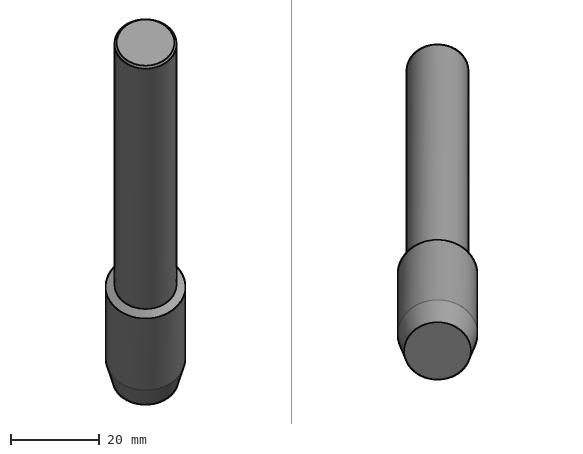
import cadquery as cq

total_height = 125.0
shaft_diameter = 14.0
collar_diameter = 18.0
shaft_radius = shaft_diameter / 2
collar_radius = collar_diameter / 2

collar_height = 35.0
shoulder_height = 0.9
nose_height = 7.5
nose_end_radius = 7.5
shaft_chamfer = 0.5


def make_collar():
    """Solid guide collar with a tapered nose and a sloped shoulder."""
    profile = (
        cq.Workplane("XZ")
        .lineTo(nose_end_radius, 0)
        .lineTo(collar_radius, nose_height)
        .lineTo(collar_radius, collar_height - shoulder_height)
        .lineTo(shaft_radius, collar_height)
        .lineTo(0, collar_height)
        .close()
    )
    return profile.revolve(360, (0, 0, 0), (0, 1, 0))


def make_shaft():
    """Round shaft standing on the collar, chamfered at its free end."""
    return (
        cq.Workplane("XY")
        .workplane(offset=collar_height)
        .circle(shaft_radius)
        .extrude(total_height - collar_height)
        .faces(">Z")
        .chamfer(shaft_chamfer)
    )


collar = make_collar()
shaft = make_shaft()

result = cq.Compound.makeCompound([collar.val(), shaft.val()])